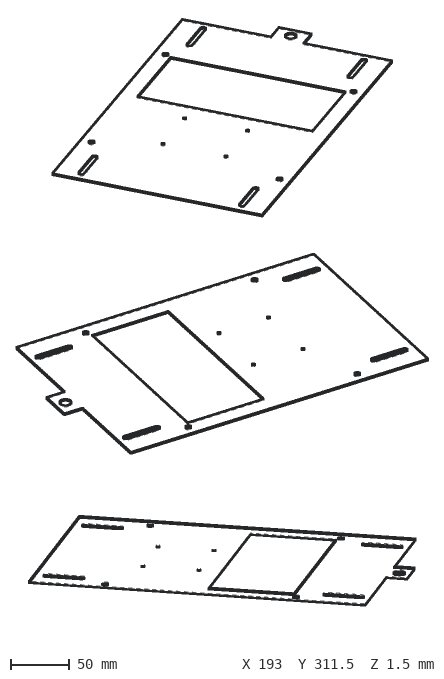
import cadquery as cq

plate_width = 193.0
plate_length = 293.5
thickness = 1.5

tab_width = 30.0
tab_length = 18.0
tab_hole_diameter = 10.0
tab_hole_to_tip = 10.0

window_width = 161.0
window_length = 75.0
window_bottom = 153.0

slot_width = 5.0
slot_length = 35.5
slot_spacing_x = 148.0
slot_spacing_y = 244.5
slot_pattern_center_y = 147.5

fixing_hole_diameter = 5.0
fixing_hole_edge_distance = 10.0
fixing_spacing_x = plate_width - 2 * fixing_hole_edge_distance
fixing_spacing_y = 166.75
fixing_pattern_center_y = slot_pattern_center_y

board_hole_diameter = 2.5
board_spacing_x = 58.0
board_spacing_y = 49.0
board_pattern_center_y = 108.5


def make_plate():
    """Flat plate with the hanging tab joined to its upper edge."""
    plate = cq.Workplane("XY").box(plate_width, plate_length, thickness, centered=(True, False, False))
    tab = (
        cq.Workplane("XY", origin=(0, plate_length, 0))
        .box(tab_width, tab_length, thickness, centered=(True, False, False))
    )
    return plate.union(tab)


def four_corners(center_y, spacing_x, spacing_y):
    """Workplane holding the corners of a rectangle centred on X = 0."""
    return cq.Workplane("XY", origin=(0, center_y, 0)).rarray(spacing_x, spacing_y, 2, 2)


def tab_hole():
    center_y = plate_length + tab_length - tab_hole_to_tip
    return cq.Workplane("XY", origin=(0, center_y, 0)).circle(tab_hole_diameter / 2).extrude(thickness)


def window():
    return (
        cq.Workplane("XY", origin=(0, window_bottom, 0))
        .box(window_width, window_length, thickness, centered=(True, False, False))
    )


def adjustment_slots():
    corners = four_corners(slot_pattern_center_y, slot_spacing_x, slot_spacing_y)
    return corners.slot2D(slot_length, slot_width, angle=90).extrude(thickness)


def fixing_holes():
    corners = four_corners(fixing_pattern_center_y, fixing_spacing_x, fixing_spacing_y)
    return corners.circle(fixing_hole_diameter / 2).extrude(thickness)


def board_holes():
    corners = four_corners(board_pattern_center_y, board_spacing_x, board_spacing_y)
    return corners.circle(board_hole_diameter / 2).extrude(thickness)


result = make_plate()
for cutout in (tab_hole(), window(), adjustment_slots(), fixing_holes(), board_holes()):
    result = result.cut(cutout)